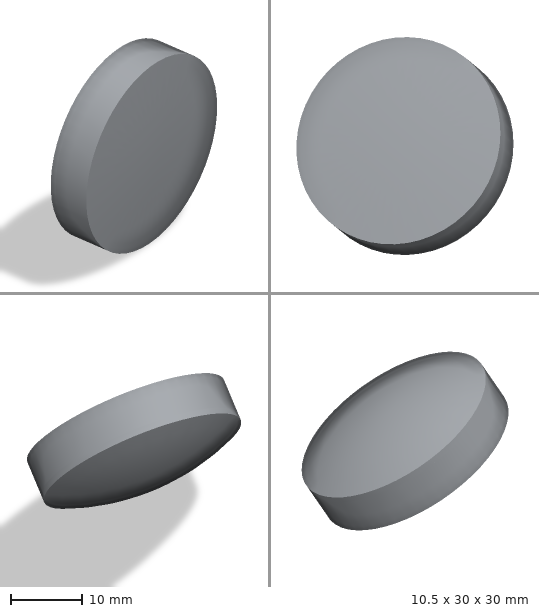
import cadquery as cq

lens_diameter = 30.0
centre_thickness = 10.5
front_sag = 3.48
back_sag = 0.68
front_edge_width = 0.9

lens_radius = lens_diameter / 2
front_rim_x = front_sag
joint_x = front_rim_x + front_edge_width
back_rim_x = centre_thickness - back_sag


def sag_at_half_radius(sag):
    """Depth below the apex, at half the lens radius, of a spherical dome of this sag."""
    sphere_radius = (lens_radius**2 + sag**2) / (2 * sag)
    return sphere_radius - (sphere_radius**2 - (lens_radius / 2) ** 2) ** 0.5


def revolve_about_x(profile):
    return profile.close().revolve(360, (0, 0, 0), (1, 0, 0))


def make_front_element():
    """Plano-convex element: domed front, short rim, flat joint face."""
    profile = (
        cq.Workplane("XY")
        .moveTo(0, 0)
        .threePointArc((sag_at_half_radius(front_sag), lens_radius / 2), (front_rim_x, lens_radius))
        .lineTo(joint_x, lens_radius)
        .lineTo(joint_x, 0)
    )
    return revolve_about_x(profile)


def make_back_element():
    """Plano-convex element: flat joint face, wide rim, shallow domed back."""
    back_arc_x = centre_thickness - sag_at_half_radius(back_sag)
    profile = (
        cq.Workplane("XY")
        .moveTo(joint_x, 0)
        .lineTo(joint_x, lens_radius)
        .lineTo(back_rim_x, lens_radius)
        .threePointArc((back_arc_x, lens_radius / 2), (centre_thickness, 0))
    )
    return revolve_about_x(profile)


front_element = make_front_element()
back_element = make_back_element()

result = cq.Compound.makeCompound([front_element.val(), back_element.val()])